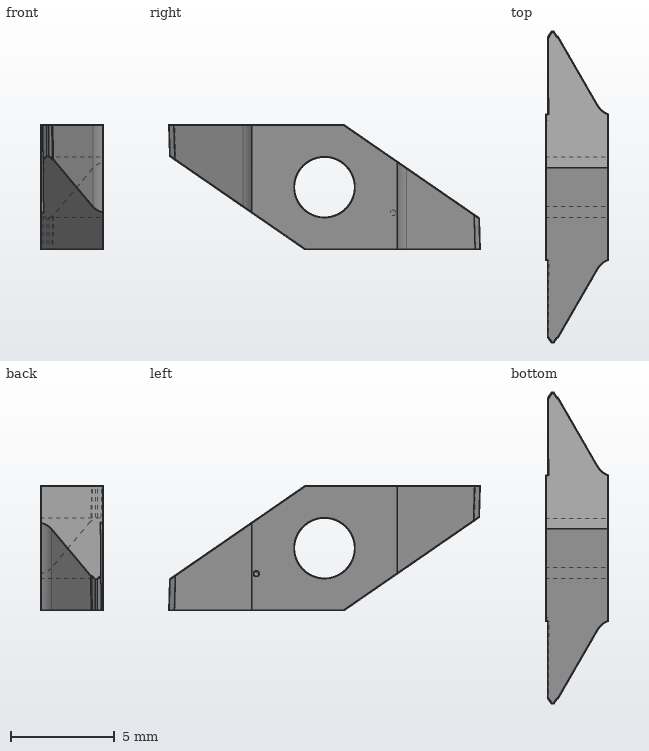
import cadquery as cq
import math

length = 15.0
thickness = 3.0
height = 6.0
half_length = length / 2
half_thickness = thickness / 2
half_height = height / 2

ridge_y = 0.93
end_face_height = 1.47

shoulder_y = 3.51
side_step = 0.09
flank_angle = math.radians(60)
flank_end_x = 0.99
root_radius = 0.98

tip_x = -1.17
tip_width = 0.09
tip_left_depth = 0.27
tip_right_depth = 0.24
land_width = 0.05

side_relief = 0.06
tip_relief = 0.18

bore_diameter = 2.91
dimple_diameter = 0.27
dimple_depth = 0.08
dimple_y = 3.28
dimple_z = -1.23


def make_profile_body():
    """Six-sided bar with half-turn symmetry about the bore axis."""
    points = [
        (-half_length, half_height),
        (ridge_y, half_height),
        (half_length, end_face_height - half_height),
        (half_length, -half_height),
        (-ridge_y, -half_height),
        (-half_length, half_height - end_face_height),
    ]
    return cq.Workplane("YZ").polyline(points).close().extrude(half_thickness, both=True)


def end_outline(z, side_inset, tip_inset):
    """Plan outline of the -Y half at height z, with its side and tip pulled in."""
    left_x = -half_thickness + side_step + side_inset
    tip_y = -half_length + tip_inset

    root_x = flank_end_x + root_radius * math.sin(flank_angle)
    root_end_angle = math.acos((half_thickness - root_x) / root_radius)
    root_y = -shoulder_y - root_radius * math.sin(root_end_angle)
    root_start_angle = flank_angle + math.pi / 2
    root_mid_angle = (root_start_angle + root_end_angle) / 2

    def on_root(angle):
        return (root_x + root_radius * math.cos(angle), root_y + root_radius * math.sin(angle))

    flank_end_y = on_root(root_start_angle)[1]
    land_y = tip_y + tip_right_depth
    land_end_x = flank_end_x - (flank_end_y - land_y) / math.tan(flank_angle)

    return (
        cq.Workplane("XY", origin=(0, 0, z))
        .moveTo(-half_thickness, 0)
        .lineTo(-half_thickness, -shoulder_y)
        .lineTo(left_x, -shoulder_y)
        .lineTo(left_x, tip_y + tip_left_depth)
        .lineTo(tip_x - tip_width / 2, tip_y)
        .lineTo(tip_x + tip_width / 2, tip_y)
        .lineTo(land_end_x - land_width, land_y)
        .lineTo(land_end_x, land_y)
        .lineTo(*on_root(root_start_angle))
        .threePointArc(on_root(root_mid_angle), on_root(root_end_angle))
        .lineTo(half_thickness, 0)
        .close()
        .val()
    )


def make_cutting_end():
    """Half of the plan shape, tapering inward below its upper cutting edge."""
    upper = end_outline(half_height, 0, 0)
    lower = end_outline(-half_height, side_relief, tip_relief)
    return cq.Workplane(cq.Solid.makeLoft([upper, lower], True))


def make_bore():
    return cq.Workplane("YZ", origin=(-half_thickness, 0, 0)).circle(bore_diameter / 2).extrude(thickness)


def make_dimple():
    """Shallow conical mark in the -X face."""
    start = cq.Vector(-half_thickness, dimple_y, dimple_z)
    return cq.Solid.makeCone(dimple_diameter / 2, 0, dimple_depth, start, cq.Vector(1, 0, 0))


near_end = make_cutting_end()
far_end = near_end.rotate((0, 0, 0), (1, 0, 0), 180)
plan_body = near_end.union(far_end)

result = make_profile_body().intersect(plan_body).cut(make_bore()).cut(make_dimple())